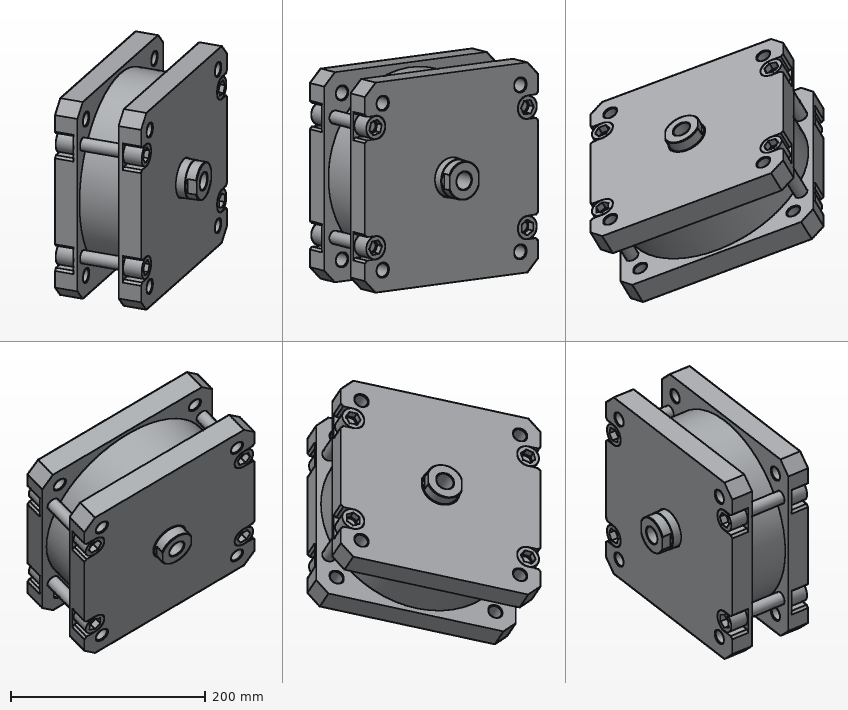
import cadquery as cq
import math


PLATE_SIZE = 220.0
PLATE_THICKNESS = 25.3
PLATE_GAP = 46.2
CORNER_CHAMFER = 13.6
MOUNT_HOLE_DIAMETER = 14.3
MOUNT_HOLE_CHAMFER = 0.9
MOUNT_HOLE_OFFSET = 87.3
ROD_HOLE_DIAMETER = 42.2

BARREL_DIAMETER = 209.5

ROD_DIAMETER = 41.0
ROD_TIP_DIAMETER = 40.3
ROD_TIP_LENGTH = 11.9
ROD_CHAMFER = 0.7
ROD_LEFT_STICKOUT = 12.5
ROD_RIGHT_STICKOUT = 22.2
FLAT_LENGTH = 10.0
FLATS_WIDTH = 37.0
ROD_BORE_DIAMETER = 18.7
ROD_BORE_DEPTH = 30.0
DRILL_POINT_ANGLE = 118.0

TIE_Y = 96.4
TIE_Z = 63.0
TIE_DIAMETER = 14.0
HEAD_DIAMETER = 24.0
HEAD_LENGTH = 20.7
SOCKET_WIDTH = 14.0
SOCKET_DEPTH = 8.0
SOCKET_DRILL_DIAMETER = 12.3
SOCKET_DRILL_DEPTH = 1.0
POCKET_WIDTH = 24.6
POCKET_MOUTH_CHAMFER = 2.6

OUTER_X = PLATE_GAP / 2 + PLATE_THICKNESS
HALF_SIZE = PLATE_SIZE / 2

TIE_PLACES = [(1, 1, 0.0), (1, -1, 30.0), (-1, 1, 15.0), (-1, -1, 5.0)]


def rod_along_x(diameter, x_start, x_end, y=0.0, z=0.0):
    """Cylinder parallel to X between two X positions."""
    return (
        cq.Workplane("YZ", origin=(x_start, y, z))
        .circle(diameter / 2)
        .extrude(x_end - x_start)
    )


def head_pocket(side_y, side_z):
    """Round-bottomed slot of the right plate, open towards one Y side, with a flared mouth."""
    half_width = POCKET_WIDTH / 2
    mouth = half_width + POCKET_MOUTH_CHAMFER
    flare_start = HALF_SIZE - POCKET_MOUTH_CHAMFER
    centre_y = side_y * TIE_Y
    centre_z = side_z * TIE_Z
    return (
        cq.Workplane("YZ", origin=(OUTER_X - HEAD_LENGTH, 0, centre_z))
        .moveTo(centre_y, half_width)
        .lineTo(side_y * flare_start, half_width)
        .lineTo(side_y * HALF_SIZE, mouth)
        .lineTo(side_y * HALF_SIZE, -mouth)
        .lineTo(side_y * flare_start, -half_width)
        .lineTo(centre_y, -half_width)
        .threePointArc((centre_y - side_y * half_width, 0), (centre_y, half_width))
        .close()
        .extrude(HEAD_LENGTH)
    )


def mount_hole(y, z):
    """Cutter for a through hole of the right plate, chamfered at both faces."""
    inner_x = PLATE_GAP / 2
    radius = MOUNT_HOLE_DIAMETER / 2
    mouth_radius = radius + MOUNT_HOLE_CHAMFER
    profile = (
        cq.Workplane("XY")
        .moveTo(inner_x, 0)
        .lineTo(inner_x, mouth_radius)
        .lineTo(inner_x + MOUNT_HOLE_CHAMFER, radius)
        .lineTo(OUTER_X - MOUNT_HOLE_CHAMFER, radius)
        .lineTo(OUTER_X, mouth_radius)
        .lineTo(OUTER_X, 0)
        .close()
    )
    return profile.revolve(360, (0, 0, 0), (1, 0, 0)).translate((0, y, z))


def make_right_plate():
    plate = (
        cq.Workplane("YZ", origin=(PLATE_GAP / 2, 0, 0))
        .rect(PLATE_SIZE, PLATE_SIZE)
        .extrude(PLATE_THICKNESS)
        .edges("|X")
        .chamfer(CORNER_CHAMFER)
    )
    for side_y, side_z, _ in TIE_PLACES:
        plate = plate.cut(mount_hole(side_y * MOUNT_HOLE_OFFSET, side_z * MOUNT_HOLE_OFFSET))
    plate = plate.cut(rod_along_x(ROD_HOLE_DIAMETER, 0, OUTER_X))
    for side_y, side_z, _ in TIE_PLACES:
        plate = plate.cut(rod_along_x(TIE_DIAMETER, 0, OUTER_X, side_y * TIE_Y, side_z * TIE_Z))
        plate = plate.cut(head_pocket(side_y, side_z))
    return plate


def make_barrel():
    """Plain drum with a bore that fits the rod."""
    barrel = rod_along_x(BARREL_DIAMETER, -PLATE_GAP / 2, PLATE_GAP / 2)
    return barrel.cut(rod_along_x(ROD_DIAMETER, -PLATE_GAP / 2, PLATE_GAP / 2))


def rod_end_cutter(x_end, direction):
    """Chamfered blind hole and pair of flats for the rod end facing +X (direction 1) or -X (direction -1)."""
    bore_radius = ROD_BORE_DIAMETER / 2
    bore_bottom = x_end - direction * ROD_BORE_DEPTH
    point_length = bore_radius / math.tan(math.radians(DRILL_POINT_ANGLE / 2))
    bore = (
        cq.Workplane("XY")
        .moveTo(x_end, 0)
        .lineTo(x_end, bore_radius + ROD_CHAMFER)
        .lineTo(x_end - direction * ROD_CHAMFER, bore_radius)
        .lineTo(bore_bottom, bore_radius)
        .lineTo(bore_bottom - direction * point_length, 0)
        .close()
        .revolve(360, (0, 0, 0), (1, 0, 0))
    )
    flat_y = FLATS_WIDTH / 2
    rise = ROD_DIAMETER / 2 - flat_y
    flat_end = x_end - direction * FLAT_LENGTH
    flat = (
        cq.Workplane("XY")
        .moveTo(x_end, flat_y)
        .lineTo(flat_end, flat_y)
        .lineTo(flat_end - direction * rise, flat_y + rise)
        .lineTo(x_end, flat_y + rise)
        .close()
        .extrude(ROD_DIAMETER / 2, both=True)
    )
    return bore.union(flat).union(flat.mirror("XZ"))


def make_piston_rod():
    left_end = -OUTER_X - ROD_LEFT_STICKOUT
    right_end = OUTER_X + ROD_RIGHT_STICKOUT
    body = rod_along_x(ROD_DIAMETER, left_end + ROD_TIP_LENGTH, right_end - ROD_TIP_LENGTH)
    body = body.faces("<X or >X").chamfer(ROD_CHAMFER)
    tips = rod_along_x(ROD_TIP_DIAMETER, left_end, right_end)
    tips = tips.faces("<X or >X").chamfer(ROD_CHAMFER)
    rod = body.union(tips)
    rod = rod.cut(rod_end_cutter(left_end, -1))
    return rod.cut(rod_end_cutter(right_end, 1))


def make_tie_bolt(side_y, side_z, socket_angle):
    """Shank with a socket head at both ends, the heads flush with the plates."""
    head_start = OUTER_X - HEAD_LENGTH
    socket_bottom = OUTER_X - SOCKET_DEPTH
    socket_corners = SOCKET_WIDTH / math.cos(math.pi / 6)
    head = rod_along_x(HEAD_DIAMETER, head_start, OUTER_X)
    socket = (
        cq.Workplane("YZ", origin=(socket_bottom, 0, 0))
        .polygon(6, socket_corners)
        .extrude(SOCKET_DEPTH)
        .rotate((0, 0, 0), (1, 0, 0), socket_angle)
    )
    socket_drill = rod_along_x(SOCKET_DRILL_DIAMETER, socket_bottom - SOCKET_DRILL_DEPTH, socket_bottom)
    head = head.cut(socket).cut(socket_drill)
    shank = rod_along_x(TIE_DIAMETER, -head_start, head_start)
    bolt = shank.union(head).union(head.mirror("YZ"))
    return bolt.translate((0, side_y * TIE_Y, side_z * TIE_Z))


right_plate = make_right_plate()
left_plate = right_plate.mirror("YZ")
barrel = make_barrel()
piston_rod = make_piston_rod()
tie_bolts = [make_tie_bolt(*place) for place in TIE_PLACES]

result = cq.Compound.makeCompound(
    [
        left_plate.val(),
        right_plate.val(),
        barrel.val(),
        piston_rod.val(),
        *[bolt.val() for bolt in tie_bolts],
    ]
)